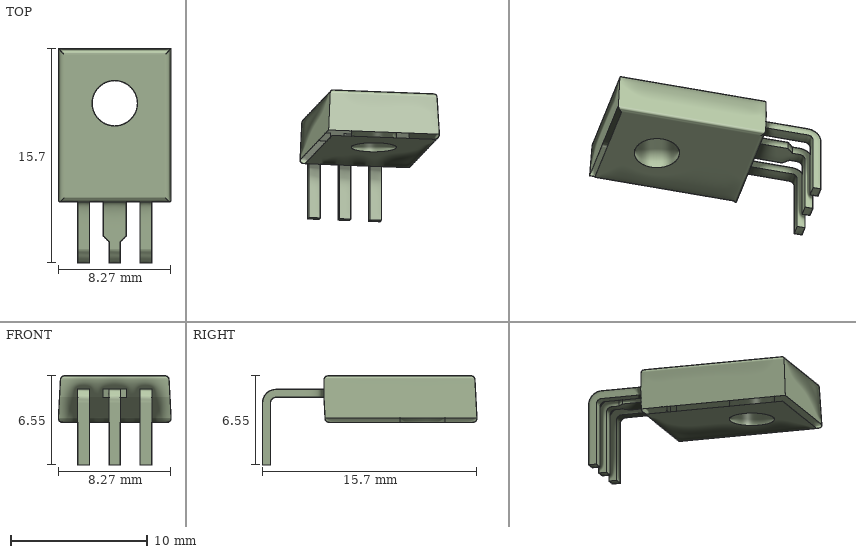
import cadquery as cq
import math

overall_length = 15.73
overall_height = 6.55
housing_width = 8.27
housing_length = 11.23
housing_height = 3.43
edge_radius = 0.31
draft_slope = math.tan(math.radians(3.0))

hole_diameter = 3.3
hole_from_back = 4.01

lead_thickness = 0.6
lead_top = housing_height - 0.99
lead_bottom = lead_top - lead_thickness
lead_reach = overall_length - housing_length
lead_foot = housing_height - overall_height
bend_outer_radius = 1.0
bend_inner_radius = bend_outer_radius - lead_thickness
lead_pitch = 2.28
side_lead_width = 0.87
center_lead_width = 0.83
center_blade_width = 1.7
blade_end_from_tip = 2.0
neck_start_from_tip = 1.55


def make_housing():
    """Drafted block with a vertical upper front face, rounded edges and a through hole."""
    parting_height = lead_bottom
    front_setback = parting_height * draft_slope
    top_inset = housing_height * draft_slope
    back = housing_length + edge_radius * draft_slope
    side_profile = (
        cq.Workplane("YZ")
        .moveTo(front_setback, 0)
        .lineTo(0, parting_height)
        .lineTo(0, housing_height)
        .lineTo(back - top_inset, housing_height)
        .lineTo(back, 0)
        .close()
        .extrude(housing_width, both=True)
    )
    bottom_half_width = housing_width / 2 + edge_radius * draft_slope
    top_half_width = bottom_half_width - top_inset
    front_profile = (
        cq.Workplane("XZ")
        .polyline([
            (-bottom_half_width, 0),
            (bottom_half_width, 0),
            (top_half_width, housing_height),
            (-top_half_width, housing_height),
        ])
        .close()
        .extrude(-back)
    )
    block = side_profile.intersect(front_profile)
    block = block.faces(">Z").edges().fillet(edge_radius)
    block = block.faces("<Z").edges().fillet(edge_radius)
    hole = (
        cq.Workplane("XY")
        .center(0, housing_length - hole_from_back)
        .circle(hole_diameter / 2)
        .extrude(housing_height)
    )
    return block.cut(hole)


def make_bent_strip(width):
    """Strip that leaves the front face, bends downward and ends at the lead foot."""
    tip = -lead_reach
    bend_start = tip + bend_outer_radius
    bend_end = lead_top - bend_outer_radius
    diagonal = math.sqrt(0.5)
    outer_mid = bend_outer_radius * diagonal
    inner_mid = bend_inner_radius * diagonal
    return (
        cq.Workplane("YZ")
        .moveTo(0, lead_top)
        .lineTo(bend_start, lead_top)
        .threePointArc((bend_start - outer_mid, bend_end + outer_mid), (tip, bend_end))
        .lineTo(tip, lead_foot)
        .lineTo(tip + lead_thickness, lead_foot)
        .lineTo(tip + lead_thickness, bend_end)
        .threePointArc((bend_start - inner_mid, bend_end + inner_mid), (bend_start, lead_bottom))
        .lineTo(0, lead_bottom)
        .close()
        .extrude(width / 2, both=True)
    )


def make_side_lead(x):
    return make_bent_strip(side_lead_width).translate((x, 0, 0))


def make_center_lead():
    """Bent strip with a wider blade at the housing that tapers to the strip width."""
    blade_half = center_blade_width / 2
    neck_half = center_lead_width / 2
    blade_end = blade_end_from_tip - lead_reach
    neck_start = neck_start_from_tip - lead_reach
    blade = (
        cq.Workplane("XY", origin=(0, 0, lead_bottom))
        .polyline([
            (-blade_half, 0),
            (-blade_half, blade_end),
            (-neck_half, neck_start),
            (neck_half, neck_start),
            (blade_half, blade_end),
            (blade_half, 0),
        ])
        .close()
        .extrude(lead_thickness)
    )
    return make_bent_strip(center_lead_width).union(blade)


housing = make_housing()
center_lead = make_center_lead()
side_leads = [make_side_lead(side * lead_pitch) for side in (-1, 1)]

result = cq.Compound.makeCompound([
    housing.val(),
    center_lead.val(),
    *[lead.val() for lead in side_leads],
])